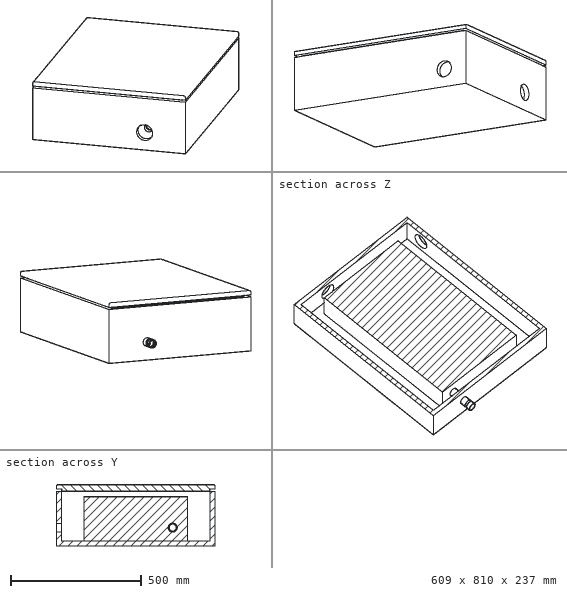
import cadquery as cq

width = 609.0
overall_height = 237.0
overall_depth = 810.0
spigot_projection = 47.0
depth = overall_depth - spigot_projection
wall = 20.0

housing_height = 211.0
plug_height = 8.0
lid_base = housing_height + plug_height
lid_edge_radius = 8.0

port_height = 71.0
port_diameter = 63.0
front_port_x = 446.5
side_port_y = 96.0

tank_side_gap = 105.0
tank_end_gap = 57.5
tank_top_gap = 20.0

bore_diameter = 27.0
inlet_diameter = 33.0
inlet_depth = 20.0

spigot_diameter = 33.0
groove_diameter = 30.0
groove_width = 8.0
groove_to_end = 15.0


def make_box(x_inset, y_inset, base, top):
    """Box centred on the enclosure, inset from its side walls and its end walls."""
    return cq.Workplane().box(
        width - 2 * x_inset, depth - 2 * y_inset, top - base, centered=False
    ).translate((x_inset, y_inset, base))


def make_cylinder(diameter, length, start, direction):
    """Cylinder that runs from the start point along the direction."""
    solid = cq.Solid.makeCylinder(diameter / 2, length, cq.Vector(*start), cq.Vector(*direction))
    return cq.Workplane(solid)


def make_flow_cylinder(diameter, y_start, y_end):
    """Cylinder along +Y on the common axis of the front port, the bore and the spigot."""
    return make_cylinder(diameter, y_end - y_start, (front_port_x, y_start, port_height), (0, 1, 0))


def make_housing():
    shell = make_box(0, 0, 0, housing_height).cut(make_box(wall, wall, wall, housing_height))
    front_port = make_flow_cylinder(port_diameter, 0, wall)
    side_port = make_cylinder(port_diameter, wall, (0, side_port_y, port_height), (1, 0, 0))
    spigot_hole = make_flow_cylinder(spigot_diameter, depth - wall, depth)
    return shell.cut(front_port).cut(side_port).cut(spigot_hole)


def make_lid():
    panel = make_box(0, 0, lid_base, overall_height).edges("|Y and >Z").fillet(lid_edge_radius)
    plug = make_box(wall, wall, housing_height, lid_base)
    return panel.union(plug)


def make_groove():
    """Ring that cuts the groove around the spigot."""
    groove_end = overall_depth - groove_to_end
    groove_start = groove_end - groove_width
    ring = make_flow_cylinder(spigot_diameter, groove_start, groove_end)
    return ring.cut(make_flow_cylinder(groove_diameter, groove_start, groove_end))


def make_tank():
    block = make_box(tank_side_gap, tank_end_gap, wall, housing_height - tank_top_gap)
    spigot = make_flow_cylinder(spigot_diameter, depth - tank_end_gap, overall_depth)
    bore = make_flow_cylinder(bore_diameter, tank_end_gap, overall_depth)
    inlet = make_flow_cylinder(inlet_diameter, tank_end_gap, tank_end_gap + inlet_depth)
    return block.union(spigot).cut(make_groove()).cut(bore).cut(inlet)


housing = make_housing().solids()
lid = make_lid().solids()
tank = make_tank().solids()

result = cq.Compound.makeCompound([housing.val(), lid.val(), tank.val()])